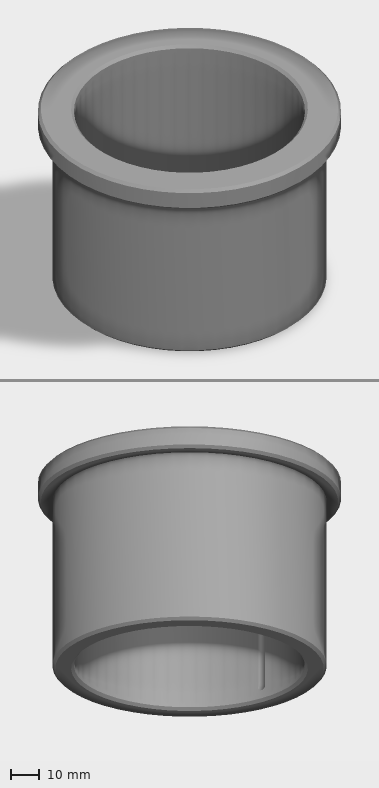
import cadquery as cq

flange_diameter = 105.0
body_diameter = 95.0
bore_diameter = 80.0
total_height = 70.0
flange_thickness = 8.1
edge_chamfer = 1.0

groove_radius = 1.6
groove_end_margin = 4.0

body_height = total_height - flange_thickness


def chamfered_disc(diameter, height, base_z, edges):
    """Disc standing on base_z with the selected rim edges chamfered."""
    disc = cq.Workplane("XY").workplane(offset=base_z).circle(diameter / 2).extrude(height)
    return disc.edges(edges).chamfer(edge_chamfer)


def bore_cutter():
    """Through bore, widened by a chamfer at both mouths."""
    bore_radius = bore_diameter / 2
    mouth_radius = bore_radius + edge_chamfer
    profile = [
        (0, 0),
        (mouth_radius, 0),
        (bore_radius, edge_chamfer),
        (bore_radius, total_height - edge_chamfer),
        (mouth_radius, total_height),
        (0, total_height),
    ]
    return cq.Workplane("XZ").polyline(profile).close().revolve(360, (0, 0), (0, 1))


def groove_cutter():
    """Round-bottomed groove with ball ends, centred on the bore wall."""
    lower_ball_z = groove_end_margin + groove_radius
    upper_ball_z = total_height - lower_ball_z
    wall = cq.Workplane("XY").center(bore_diameter / 2, 0)
    cutter = wall.workplane(offset=lower_ball_z).circle(groove_radius).extrude(upper_ball_z - lower_ball_z)
    for ball_z in (lower_ball_z, upper_ball_z):
        ball = cq.Workplane("XY").sphere(groove_radius).translate((bore_diameter / 2, 0, ball_z))
        cutter = cutter.union(ball)
    return cutter


body = chamfered_disc(body_diameter, total_height, 0, "<Z")
flange = chamfered_disc(flange_diameter, flange_thickness, body_height, "%CIRCLE")

result = body.union(flange).cut(bore_cutter()).cut(groove_cutter())